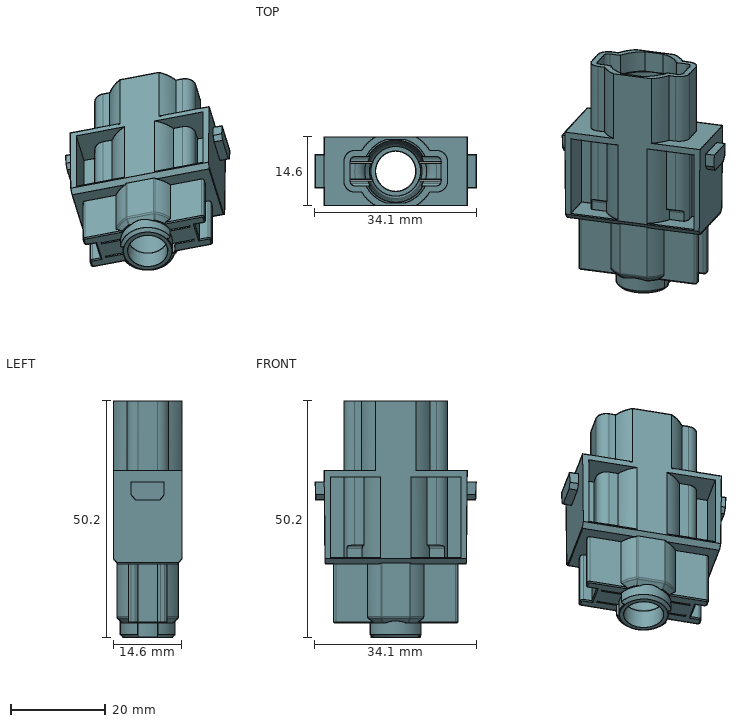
import cadquery as cq

TOP_Z = 50.2
SHOULDER_Z = 35.45
WINDOW_TOP_Z = 34.05
WINDOW_FLOOR_Z = 17.05
WING_STEP_Z = 19.6
BLOCK_BOTTOM_Z = 15.65
TAIL_BOTTOM_Z = 3.1

BLOCK_TOP_HALF_X = 15.17
BLOCK_BOTTOM_HALF_X = 15.0
BLOCK_HALF_Y = 7.3
BLOCK_CHAMFER_Y = 0.95
BLOCK_CHAMFER_Z = 1.1
BLOCK_END_CHAMFER_X = 0.1
BLOCK_END_CHAMFER_Z = 0.3
WINDOW_HALF_X = 13.8
WEB_THICKNESS = 0.8

TAB_TOP_Z = 33.0
TAB_BOTTOM_Z = 29.2
TAB_TOP_HALF_X = 17.075
TAB_BOTTOM_HALF_X = 16.95
TAB_HALF_Y = 3.5
TAB_CHAMFER_Y = 0.9
TAB_CHAMFER_Z = 1.1

TOWER_RADIUS = 8.45
CORE_RADIUS = 8.0
WING_HALF_X = 10.98
WING_HALF_Y = 4.4
WING_CORNER = 2.3
WING_STEP = 0.74
WING_STEP_FILLET = 0.7

BOSS_RADIUS = 7.2
BOSS_HALF_Y = 6.53
BOSS_EDGE_FILLET = 0.6
BOSS_CHAMFER = 1.15
BOSS_BEVEL_FILLET = 0.6
TAIL_HALF_X = 13.2
TAIL_HALF_Y = 4.05
TAIL_OUTER_FILLET = 0.5
TAIL_BOTTOM_CHAMFER = 0.25
FORK_HALF_Y = 2.1
FORK_FLOOR_X = 10.8
FORK_INNER_FILLET = 0.6

NOZZLE_RADIUS = 5.83
NOZZLE_HALF_X = 5.4
NOZZLE_CHAMFER = 0.7

POCKET_RADIUS = 7.0
POCKET_FLAT_Y = 6.7
POCKET_HALF_X = 9.64
POCKET_HALF_Y = 3.1
POCKET_CORNER = 1.0
POCKET_FLOOR_FILLET = 0.55
POCKET_FLOOR_Z = 18.0
LEDGE_Z = 45.8
BORE_RADIUS = 6.6
BORE_STEP_RADIUS = 6.42
BORE_LOWER_RADIUS = 6.12
BORE_CONE_RADIUS = 5.76
BORE_FLOOR_RADIUS = 5.26
BORE_SHOULDER_Z = 22.0
BORE_STEP_Z = 20.0
BORE_LOWER_Z = 17.0
BORE_CONE_Z = 6.0
BORE_FLOOR_Z = 4.5
EXIT_DIAMETER = 8.5
SLOT_HALF_Y = 2.05
TONGUE_HALF_Y = 1.72
TONGUE_OUTER_RADIUS = 10.0
TONGUE_FLAT_RADIUS = 8.69
TONGUE_CURVE_RADIUS = 6.55
TONGUE_CURVE_Z = 16.1
TONGUE_FOOT_RADIUS = 5.57
TONGUE_FOOT_Z = 15.0

SIDES = (1, -1)


def centred_box(half_x, half_y, z_low, z_high):
    """Box centred on the Z axis between two heights."""
    height = z_high - z_low
    return cq.Workplane("XY").workplane(offset=z_low).rect(2 * half_x, 2 * half_y).extrude(height)


def cylinder(radius, z_low, z_high):
    return cq.Workplane("XY").workplane(offset=z_low).circle(radius).extrude(z_high - z_low)


def rounded_bar(half_x, half_y, corner, z_low, z_high):
    """Bar spanning both wings, with rounded vertical edges."""
    return centred_box(half_x, half_y, z_low, z_high).edges("|Z").fillet(corner)


def flatted_cylinder(radius, half_x, half_y, z_low, z_high):
    """Round column trimmed by flats in X and Y."""
    return cylinder(radius, z_low, z_high).intersect(centred_box(half_x, half_y, z_low, z_high))


def drafted_plate(top_half_x, bottom_half_x, half_y, chamfer_y, chamfer_z, z_low, z_high):
    """Block whose ends taper in X and whose lower Y edges are chamfered."""
    ends = [(-top_half_x, z_high), (top_half_x, z_high), (bottom_half_x, z_low), (-bottom_half_x, z_low)]
    sides = [
        (-half_y, z_high),
        (half_y, z_high),
        (half_y, z_low + chamfer_z),
        (half_y - chamfer_y, z_low),
        (chamfer_y - half_y, z_low),
        (-half_y, z_low + chamfer_z),
    ]
    tapered = cq.Workplane("XZ").polyline(ends).close().extrude(half_y, both=True)
    chamfered = cq.Workplane("YZ").polyline(sides).close().extrude(top_half_x, both=True)
    return tapered.intersect(chamfered)


def make_block():
    block = drafted_plate(
        BLOCK_TOP_HALF_X, BLOCK_BOTTOM_HALF_X, BLOCK_HALF_Y,
        BLOCK_CHAMFER_Y, BLOCK_CHAMFER_Z, BLOCK_BOTTOM_Z, SHOULDER_Z,
    )
    block = block.faces("<Z").edges("|Y").chamfer(BLOCK_END_CHAMFER_Z, BLOCK_END_CHAMFER_X)
    window = centred_box(WINDOW_HALF_X, BLOCK_HALF_Y, WINDOW_FLOOR_Z, WINDOW_TOP_Z)
    web = centred_box(WINDOW_HALF_X, WEB_THICKNESS / 2, WINDOW_FLOOR_Z, WINDOW_TOP_Z)
    tabs = drafted_plate(
        TAB_TOP_HALF_X, TAB_BOTTOM_HALF_X, TAB_HALF_Y,
        TAB_CHAMFER_Y, TAB_CHAMFER_Z, TAB_BOTTOM_Z, TAB_TOP_Z,
    )
    return block.union(tabs).cut(window).union(web)


def make_wings():
    """Bar through both wings, with a round-cornered step in its Y faces near the window floor."""
    wings = rounded_bar(WING_HALF_X, WING_HALF_Y, WING_CORNER, WINDOW_FLOOR_Z, TOP_Z)
    inner = centred_box(WING_HALF_X, WING_HALF_Y - WING_STEP, WINDOW_FLOOR_Z, WING_STEP_Z)
    notches = centred_box(WING_HALF_X, 2 * WING_HALF_Y, WINDOW_FLOOR_Z, WING_STEP_Z).cut(inner)
    for wall in (">Y[1]", "<Y[1]"):
        notches = notches.faces(wall).edges(">Z").fillet(WING_STEP_FILLET)
    return wings.cut(notches)


def make_tower():
    tower = flatted_cylinder(TOWER_RADIUS, TOWER_RADIUS, BLOCK_HALF_Y, SHOULDER_Z, TOP_Z)
    core = flatted_cylinder(CORE_RADIUS, CORE_RADIUS, BLOCK_HALF_Y, WINDOW_FLOOR_Z, SHOULDER_Z)
    return tower.union(core).union(make_wings())


def make_boss():
    """Round boss with two flats, bevelled at 45 degrees along its lower rim."""
    bevel_top = cq.selectors.CenterNthSelector(cq.Vector(0, 0, 1), 1)
    column = cylinder(BOSS_RADIUS, TAIL_BOTTOM_Z, WINDOW_FLOOR_Z).faces("<Z").chamfer(BOSS_CHAMFER)
    column = column.edges("%CIRCLE").edges(bevel_top).fillet(BOSS_BEVEL_FILLET)
    flats = centred_box(BOSS_RADIUS, BOSS_HALF_Y, TAIL_BOTTOM_Z, WINDOW_FLOOR_Z)
    flats = flats.faces("<Z").edges("|X").chamfer(BOSS_CHAMFER)
    flats = flats.edges("|X").edges(bevel_top).fillet(BOSS_BEVEL_FILLET)
    return column.intersect(flats).edges("|Z").fillet(BOSS_EDGE_FILLET)


def make_tails():
    """Flat bar whose ends are forked by an open groove."""
    fork_depth = TAIL_HALF_X - FORK_FLOOR_X
    height = WINDOW_FLOOR_Z - TAIL_BOTTOM_Z
    fork_mid_x = FORK_FLOOR_X + fork_depth / 2
    tails = rounded_bar(TAIL_HALF_X, TAIL_HALF_Y, TAIL_OUTER_FILLET, TAIL_BOTTOM_Z, WINDOW_FLOOR_Z)
    grooves = (
        cq.Workplane("XY").workplane(offset=TAIL_BOTTOM_Z)
        .pushPoints([(side * fork_mid_x, 0) for side in SIDES])
        .rect(fork_depth, 2 * FORK_HALF_Y).extrude(height)
    )
    tails = tails.cut(grooves)
    between_outer_edges = cq.selectors.BoxSelector(
        (-TAIL_HALF_X - FORK_INNER_FILLET, -FORK_HALF_Y - FORK_INNER_FILLET, TAIL_BOTTOM_Z),
        (TAIL_HALF_X + FORK_INNER_FILLET, FORK_HALF_Y + FORK_INNER_FILLET, WINDOW_FLOOR_Z),
    )
    for end in (">X", "<X"):
        tails = tails.faces(end).edges("|Z").edges(between_outer_edges).fillet(FORK_INNER_FILLET)
    return tails.faces("<Z").chamfer(TAIL_BOTTOM_CHAMFER)


def make_nozzle():
    nozzle = cylinder(NOZZLE_RADIUS, 0, BORE_FLOOR_Z)
    nozzle = nozzle.faces("<Z").chamfer(NOZZLE_CHAMFER)
    return nozzle.intersect(centred_box(NOZZLE_HALF_X, NOZZLE_RADIUS, 0, BORE_FLOOR_Z))


def make_cavity():
    """Winged pocket, stepped bore and round exit hole."""
    mouth = flatted_cylinder(POCKET_RADIUS, POCKET_RADIUS, POCKET_FLAT_Y, LEDGE_Z, TOP_Z)
    wing_pocket = rounded_bar(POCKET_HALF_X, POCKET_HALF_Y, POCKET_CORNER, POCKET_FLOOR_Z, TOP_Z)
    trough = centred_box(POCKET_HALF_X, POCKET_HALF_Y, POCKET_FLOOR_Z, TOP_Z)
    trough = trough.faces("<Z").edges("|X").fillet(POCKET_FLOOR_FILLET)
    wing_pocket = wing_pocket.intersect(trough)
    bore_profile = [
        (0, LEDGE_Z),
        (BORE_RADIUS, LEDGE_Z),
        (BORE_RADIUS, BORE_SHOULDER_Z),
        (BORE_STEP_RADIUS, BORE_STEP_Z),
        (BORE_LOWER_RADIUS, BORE_LOWER_Z),
        (BORE_CONE_RADIUS, BORE_CONE_Z),
        (BORE_FLOOR_RADIUS, BORE_FLOOR_Z),
        (0, BORE_FLOOR_Z),
    ]
    bore = cq.Workplane("XZ").polyline(bore_profile).close().revolve(360, (0, 0), (0, 1))
    return mouth.union(wing_pocket).union(bore).union(cylinder(EXIT_DIAMETER / 2, 0, LEDGE_Z))


def make_slot():
    """Gap cut down inside both tails and past the nozzle flats, outside the round bore floor."""
    gap = centred_box(POCKET_HALF_X, SLOT_HALF_Y, 0, POCKET_FLOOR_Z)
    return gap.cut(cylinder(BORE_FLOOR_RADIUS, 0, POCKET_FLOOR_Z))


def make_tongues():
    """Fillings between the narrow gaps, with a turned top that falls toward the bore."""
    profile = (
        cq.Workplane("XZ")
        .moveTo(TONGUE_OUTER_RADIUS, TAIL_BOTTOM_Z)
        .lineTo(TONGUE_OUTER_RADIUS, POCKET_FLOOR_Z)
        .lineTo(TONGUE_FLAT_RADIUS, POCKET_FLOOR_Z)
        .tangentArcPoint((TONGUE_CURVE_RADIUS, TONGUE_CURVE_Z), relative=False)
        .lineTo(TONGUE_FOOT_RADIUS, TONGUE_FOOT_Z)
        .lineTo(BORE_FLOOR_RADIUS, BORE_FLOOR_Z)
        .lineTo(BORE_FLOOR_RADIUS, TAIL_BOTTOM_Z)
        .close()
    )
    turned = profile.revolve(360, (0, 0), (0, 1))
    return turned.intersect(centred_box(POCKET_HALF_X, TONGUE_HALF_Y, TAIL_BOTTOM_Z, POCKET_FLOOR_Z))


body = make_block().union(make_tower()).union(make_boss()).union(make_tails()).union(make_nozzle())
result = body.cut(make_cavity()).cut(make_slot()).union(make_tongues())